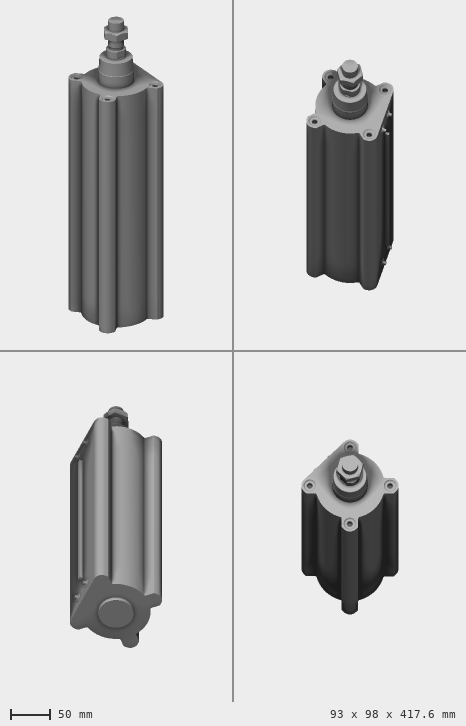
import cadquery as cq
import math

tube_length = 327.0
tube_width = 93.0
barrel_diameter = 87.5
boss_spacing = 72.0
boss_flat_end = 31.7
boss_edge_fillet = 1.5
web_root_fillet = 2.0
edge_search_tolerance = 0.5

recess_mouth_diameter = 16.0
recess_diameter = 15.0
recess_floor_diameter = 12.5
recess_mouth_depth = 0.5
recess_depth = 1.3
socket_mouth_diameter = 8.5
socket_diameter = 6.5
socket_mouth_depth = 1.0
socket_depth = 7.0

collar_diameter = 45.0
collar_chamfer_length = 1.0
collar_chamfer_inset = 0.5
rear_collar_height = 5.0
front_collar_height = 17.0
bushing_top_diameter = 41.8
bushing_height = 18.0
bushing_chamfer = 0.5

rail_width = 3.8
rail_height = 5.0
rail_end_gap = 42.0

screw_steps = [(11.3, 1.0), (6.0, 2.0), (4.0, 4.5)]
screw_offset = 12.5
screw_end_gap = 18.5

rod_diameter = 25.0
rod_flats_width = 22.0
rod_flats_gap = 1.3
rod_shoulder_height = 11.3
neck_diameter = 18.0
neck_length = 2.5
thread_diameter = 20.0
thread_end_diameter = 18.5
thread_taper_length = 2.0
stud_length = 39.3

nut_across_flats = 30.0
nut_height = 10.0
nut_top_gap = 12.5
nut_chamfer_angle = 30

half_width = tube_width / 2
boss_center = boss_spacing / 2
boss_radius = half_width - boss_center
bushing_base_z = tube_length + front_collar_height
bushing_top_z = bushing_base_z + bushing_height
shoulder_z = bushing_top_z + rod_shoulder_height
rod_top_z = shoulder_z + stud_length
nut_base_z = rod_top_z - nut_top_gap - nut_height


def cylinder(diameter, height, base_z):
    return cq.Workplane("XY", origin=(0, 0, base_z)).circle(diameter / 2).extrude(height)


def cone(base_diameter, top_diameter, height, base_z):
    base_point = cq.Vector(0, 0, base_z)
    return cq.Workplane(cq.Solid.makeCone(base_diameter / 2, top_diameter / 2, height, base_point))


def fillet_edges_at_distance(body, distance, radius):
    """Round the vertical edges that lie at the given distance from the Z axis."""

    def at_distance(edge):
        center = edge.Center()
        return abs(math.hypot(center.x, center.y) - distance) < edge_search_tolerance

    return body.edges("|Z").filter(at_distance).fillet(radius)


def make_boss():
    """Corner boss at +X +Y, with a web whose sides run at 45 degrees into the barrel."""
    arc_middle = boss_center + boss_radius * math.sqrt(0.5)
    web_start = half_width - boss_flat_end
    boss = (
        cq.Workplane("XY")
        .moveTo(boss_flat_end, half_width)
        .lineTo(boss_center, half_width)
        .threePointArc((arc_middle, arc_middle), (half_width, boss_center))
        .lineTo(half_width, boss_flat_end)
        .lineTo(web_start, 0)
        .lineTo(0, web_start)
        .close()
        .extrude(tube_length)
    )
    return fillet_edges_at_distance(boss, math.hypot(boss_flat_end, half_width), boss_edge_fillet)


def make_tube():
    tube = cylinder(barrel_diameter, tube_length, 0)
    boss = make_boss()
    for angle in (0, 90, 180, 270):
        tube = tube.union(boss.rotate((0, 0, 0), (0, 0, 1), angle))
    tube = fillet_edges_at_distance(tube, barrel_diameter / 2, web_root_fillet)
    flat_side = (
        cq.Workplane("XY")
        .rect(boss_spacing, half_width, centered=(True, False))
        .extrude(tube_length)
    )
    return tube.union(flat_side)


def make_boss_recess():
    """Cutter for one boss recess, hanging down from Z = 0."""
    socket_top = -recess_depth
    socket_neck = socket_top - socket_mouth_depth
    mouth = cone(recess_diameter, recess_mouth_diameter, recess_mouth_depth, -recess_mouth_depth)
    bowl = cone(recess_floor_diameter, recess_diameter, recess_depth - recess_mouth_depth, -recess_depth)
    socket_mouth = cone(socket_diameter, socket_mouth_diameter, socket_mouth_depth, socket_neck)
    socket = cylinder(socket_diameter, socket_depth - socket_mouth_depth, socket_top - socket_depth)
    return mouth.union(bowl).union(socket_mouth).union(socket)


def make_rear_collar():
    collar = cylinder(collar_diameter, rear_collar_height, -rear_collar_height)
    return collar.faces("<Z").chamfer(collar_chamfer_length, collar_chamfer_inset)


def make_front_collar():
    collar = cylinder(collar_diameter, front_collar_height, tube_length)
    return collar.faces(">Z").chamfer(collar_chamfer_length, collar_chamfer_inset)


def make_bushing():
    base_diameter = collar_diameter - 2 * collar_chamfer_inset
    bushing = cone(base_diameter, bushing_top_diameter, bushing_height, bushing_base_z)
    return bushing.faces(">Z").chamfer(bushing_chamfer)


def make_rail():
    rail_length = tube_length - 2 * rail_end_gap
    return (
        cq.Workplane("XY", origin=(0, half_width, rail_end_gap))
        .rect(rail_width, 2 * rail_height)
        .extrude(rail_length)
    )


def make_cushion_screw(x, z):
    screw = cq.Workplane("XY")
    for diameter, height in screw_steps:
        screw = screw.union(cylinder(diameter, height, 0))
    return screw.rotate((0, 0, 0), (1, 0, 0), -90).translate((x, half_width, z))


def make_rod_bore():
    return cylinder(rod_diameter, bushing_top_z - tube_length, tube_length)


def make_housing():
    housing = make_tube()
    recess = make_boss_recess()
    for x in (-boss_center, boss_center):
        for y in (-boss_center, boss_center):
            housing = housing.cut(recess.translate((x, y, tube_length)))
    for part in (make_rear_collar(), make_front_collar(), make_bushing(), make_rail()):
        housing = housing.union(part)
    for x in (-screw_offset, screw_offset):
        for z in (screw_end_gap, tube_length - screw_end_gap):
            housing = housing.union(make_cushion_screw(x, z))
    return housing.cut(make_rod_bore())


def make_rod():
    """Rod with two wrench flats, seated in the housing bore and ending in a threaded stud."""
    rod = cylinder(rod_diameter, shoulder_z - tube_length, tube_length)
    flats_base_z = bushing_top_z + rod_flats_gap
    flats_length = shoulder_z - flats_base_z
    wrench_section = (
        cq.Workplane("XY", origin=(0, 0, flats_base_z))
        .rect(rod_flats_width, rod_diameter)
        .extrude(flats_length)
    )
    rod = rod.cut(cylinder(rod_diameter, flats_length, flats_base_z).cut(wrench_section))

    taper_base_z = shoulder_z + neck_length
    thread_base_z = taper_base_z + thread_taper_length
    neck = cylinder(neck_diameter, neck_length, shoulder_z)
    taper = cone(thread_end_diameter, thread_diameter, thread_taper_length, taper_base_z)
    thread = cylinder(thread_diameter, rod_top_z - thread_base_z, thread_base_z)
    return rod.union(neck).union(taper).union(thread)


def make_nut():
    """Hexagon nut with corners on the Y axis and its upper corners chamfered."""
    hexagon = (
        cq.Workplane("XY", origin=(0, 0, nut_base_z))
        .polygon(6, nut_across_flats, circumscribed=True)
        .circle(thread_diameter / 2)
        .extrude(nut_height)
    )
    cone_spread = nut_height / math.tan(math.radians(nut_chamfer_angle))
    chamfer_cone = cone(nut_across_flats + 2 * cone_spread, nut_across_flats, nut_height, nut_base_z)
    return hexagon.intersect(chamfer_cone)


housing = make_housing()
rod = make_rod()
nut = make_nut()

result = cq.Compound.makeCompound([*housing.solids().vals(), *rod.solids().vals(), *nut.solids().vals()])